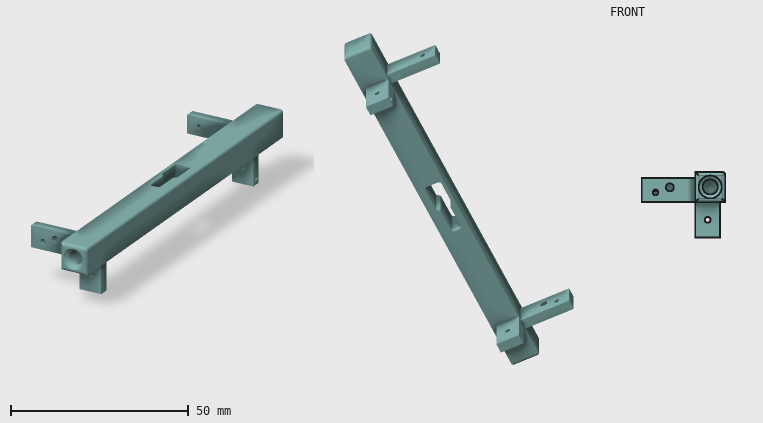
import cadquery as cq

bar_length = 111.5
bar_side = 8.5
bar_middle = bar_side / 2
half_length = bar_length / 2
end_rounding = 1.0
long_edge_rounding = 0.9

arm_length = 15.0
leg_length = 10.0
leg_width = 7.0
plate_thickness = 3.0
arm_top = bar_side - 1.7
rear_arm_height = 5.8
front_arm_y = -half_length + 11.2
rear_arm_y = half_length - 12.4
front_leg_y = -half_length + 12.4
rear_leg_y = half_length - 13.4

small_hole_diameter = 1.6
large_hole_diameter = 2.2
tip_hole_x = 3.9 - arm_length
tip_hole_z = 2.7
inner_hole_x = 7.9 - arm_length
inner_hole_z = 4.1
rear_hole_z = arm_top - rear_arm_height / 2
leg_hole_z = 5.0 - leg_length
cross_hole_z = 1.9 - leg_length

bore_diameter = 4.2
bore_depth = 8.9
bore_tip_depth = 1.2
countersink_diameter = 6.5
countersink_depth = (countersink_diameter - bore_diameter) / 2

slot_x = 3.6
slot_rear_y = 7.6
slot_wide_end_y = -0.3
slot_narrow_start_y = -1.1
slot_front_y = -8.8
slot_wide_width = 5.0
slot_narrow_width = 3.0
slot_corner_radius = 0.8


def make_bar():
    bar = cq.Workplane("XY").box(bar_side, bar_length, bar_side)
    bar = bar.translate((bar_middle, 0, bar_middle))
    bar = bar.edges("|Y and >X and >Z").fillet(long_edge_rounding)
    return bar.faces("<Y or >Y").edges().fillet(end_rounding)


def make_arm(y, height):
    return cq.Workplane("XY").box(arm_length, plate_thickness, height).translate(
        (-arm_length / 2, y, arm_top - height / 2)
    )


def make_leg(y):
    return cq.Workplane("XY").box(leg_width, plate_thickness, leg_length).translate(
        (leg_width / 2, y, -leg_length / 2)
    )


def plate_hole(x, y, z, diameter):
    start = cq.Workplane("XZ", origin=(x, y, z))
    return start.circle(diameter / 2).extrude(plate_thickness, both=True)


def make_end_bore():
    bore_radius = bore_diameter / 2
    return (
        cq.Workplane("XY", origin=(bar_middle, -half_length, bar_middle))
        .polyline([
            (0, 0),
            (countersink_diameter / 2, 0),
            (bore_radius, countersink_depth),
            (bore_radius, bore_depth),
            (0, bore_depth + bore_tip_depth),
        ])
        .close()
        .revolve(360, (0, 0, 0), (0, 1, 0))
    )


def slot_section(width, rear_y, front_y):
    return cq.Workplane("XY").box(width, rear_y - front_y, bar_side).translate(
        (slot_x, (rear_y + front_y) / 2, bar_middle)
    )


def make_slot():
    half_wide = slot_wide_width / 2
    half_narrow = slot_narrow_width / 2
    wide = slot_section(slot_wide_width, slot_rear_y, slot_wide_end_y)
    wide = wide.edges("|Z and >Y").fillet(slot_corner_radius)
    narrow = slot_section(slot_narrow_width, slot_narrow_start_y, slot_front_y)
    narrow = narrow.edges("|Z and <Y").fillet(slot_corner_radius)
    taper = (
        cq.Workplane("XY")
        .polyline([
            (slot_x - half_wide, slot_wide_end_y),
            (slot_x + half_wide, slot_wide_end_y),
            (slot_x + half_narrow, slot_narrow_start_y),
            (slot_x - half_narrow, slot_narrow_start_y),
        ])
        .close()
        .extrude(bar_side)
    )
    return wide.union(taper).union(narrow)


result = make_bar().cut(make_end_bore()).cut(make_slot())

result = result.union(make_arm(front_arm_y, arm_top))
result = result.union(make_arm(rear_arm_y, rear_arm_height))
result = result.cut(plate_hole(tip_hole_x, front_arm_y, tip_hole_z, small_hole_diameter))
result = result.cut(plate_hole(inner_hole_x, front_arm_y, inner_hole_z, large_hole_diameter))
result = result.cut(plate_hole(tip_hole_x, rear_arm_y, rear_hole_z, small_hole_diameter))

for leg_y in (front_leg_y, rear_leg_y):
    result = result.union(make_leg(leg_y))
    result = result.cut(plate_hole(leg_width / 2, leg_y, leg_hole_z, small_hole_diameter))

cross_hole = cq.Workplane("YZ", origin=(0, rear_leg_y, cross_hole_z))
result = result.cut(cross_hole.circle(small_hole_diameter / 2).extrude(leg_width))